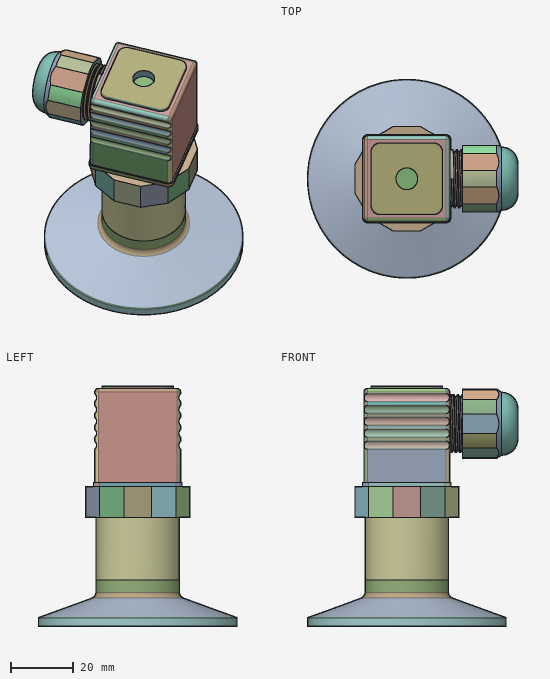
import cadquery as cq
import math


flange_diameter = 64.0
flange_height = 2.85
flange_edge_radius = 0.4
cone_angle = 20.0
neck_fillet = 2.0
ferrule_height = 15.0

tube_diameter = 26.9
tube_top = 35.1
adapter_sides = 12
adapter_across_flats = 33.5
adapter_top = 45.0

gasket_width = 28.6
gasket_corner_radius = 2.0
gasket_top = 46.4

overall_height = 77.35
housing_width = 27.7
housing_edge_radius = 1.2
label_pad_width = 23.1
label_pad_height = 0.75
label_pad_edge_radius = 0.2
label_pad_corner_radius = 3.0
housing_top = overall_height - label_pad_height
screw_hole_diameter = 7.0
screw_hole_depth = 2.8

groove_count = 5
groove_pitch = 3.83
groove_arc_radius = 1.7
groove_depth = 0.57
groove_lip_radius = 0.3
groove_overshoot = 1.0
top_groove_z = 73.65

outlet_z = 65.25
stub_diameter = 18.7
stub_embedment = 1.0
stub_root_x = housing_width / 2 - stub_embedment
thread_pitch = 1.41
thread_depth = 0.75
thread_root_width = 0.1
thread_mouth_width = 1.25
thread_overshoot = 0.1
thread_start_x = 14.35
nut_start_x = 17.85
nut_sides = 6
nut_across_flats = 21.5
nut_corner_diameter = 22.4
nut_chamfer_start_x = 28.9
dome_start_x = 30.5
dome_diameter = 20.4
nut_end_x = 35.8
dome_radius = nut_end_x - dome_start_x


def make_ferrule():
    neck_radius = tube_diameter / 2
    flange_radius = flange_diameter / 2
    cone_height = (flange_radius - neck_radius) * math.tan(math.radians(cone_angle))
    cone_top = flange_height + cone_height
    body = (
        cq.Workplane("XZ")
        .moveTo(0, 0)
        .lineTo(flange_radius, 0)
        .lineTo(flange_radius, flange_height)
        .lineTo(neck_radius, cone_top)
        .lineTo(neck_radius, ferrule_height)
        .lineTo(0, ferrule_height)
        .close()
        .revolve(360, (0, 0, 0), (0, 1, 0))
    )
    body = body.edges(cq.NearestToPointSelector((0, 0, cone_top))).fillet(neck_fillet)
    return body.edges(cq.NearestToPointSelector((0, 0, flange_height))).fillet(flange_edge_radius)


def make_tube():
    return (
        cq.Workplane("XY", origin=(0, 0, ferrule_height))
        .circle(tube_diameter / 2)
        .extrude(tube_top - ferrule_height)
    )


def make_adapter():
    corner_diameter = adapter_across_flats / math.cos(math.pi / adapter_sides)
    return (
        cq.Workplane("XY", origin=(0, 0, tube_top))
        .polygon(adapter_sides, corner_diameter)
        .extrude(adapter_top - tube_top)
        .rotate((0, 0, 0), (0, 0, 1), 180 / adapter_sides)
    )


def make_gasket():
    return (
        cq.Workplane("XY", origin=(0, 0, adapter_top))
        .rect(gasket_width, gasket_width)
        .extrude(gasket_top - adapter_top)
        .edges("|Z")
        .fillet(gasket_corner_radius)
    )


def make_groove(side, center_z):
    """Arc-shaped groove with rounded lips, running along X across the face at side * Y."""
    face_y = side * housing_width / 2
    outer_y = face_y + side * groove_overshoot
    floor_y = face_y - side * groove_depth
    center_height = groove_arc_radius - groove_depth
    reach = groove_arc_radius + groove_lip_radius
    half_mouth = math.sqrt(reach**2 - (center_height + groove_lip_radius) ** 2)
    blend = groove_arc_radius / reach
    tangent_z = half_mouth * blend
    tangent_y = face_y + side * (center_height - (center_height + groove_lip_radius) * blend)
    lip_turn = side * groove_lip_radius
    return (
        cq.Workplane("YZ", origin=(-housing_width, 0, center_z))
        .moveTo(outer_y, half_mouth)
        .lineTo(face_y, half_mouth)
        .radiusArc((tangent_y, tangent_z), lip_turn)
        .threePointArc((floor_y, 0), (tangent_y, -tangent_z))
        .radiusArc((face_y, -half_mouth), lip_turn)
        .lineTo(outer_y, -half_mouth)
        .close()
        .extrude(2 * housing_width)
    )


def make_stub():
    """Round stub with a right-handed V thread, modelled along Z and then turned to point along +X."""
    stub_radius = stub_diameter / 2
    root_radius = stub_radius - thread_depth
    outer_radius = stub_radius + thread_overshoot
    groove_length = nut_start_x - thread_start_x + thread_pitch
    helix = cq.Wire.makeHelix(thread_pitch, groove_length, stub_radius)
    groove = (
        cq.Workplane("XZ")
        .moveTo(root_radius, thread_root_width / 2)
        .lineTo(outer_radius, thread_mouth_width / 2)
        .lineTo(outer_radius, -thread_mouth_width / 2)
        .lineTo(root_radius, -thread_root_width / 2)
        .close()
        .sweep(cq.Workplane(obj=helix), isFrenet=True)
    )
    stub = (
        cq.Workplane("XY", origin=(0, 0, stub_root_x - thread_start_x))
        .circle(stub_radius)
        .extrude(nut_start_x - stub_root_x)
        .rotate((0, 0, 0), (0, 0, 1), 90)
        .cut(groove)
    )
    return (
        stub.rotate((0, 0, 0), (0, 1, 0), 90)
        .rotate((0, 0, 0), (1, 0, 0), 180)
        .translate((thread_start_x, 0, outlet_z))
    )


def make_housing():
    body = (
        cq.Workplane("XY", origin=(0, 0, gasket_top))
        .rect(housing_width, housing_width)
        .extrude(housing_top - gasket_top)
        .edges("|Z or >Z")
        .fillet(housing_edge_radius)
    )
    for side in (-1, 1):
        for index in range(groove_count):
            body = body.cut(make_groove(side, top_groove_z - index * groove_pitch))
    label_pad = (
        cq.Workplane("XY", origin=(0, 0, housing_top))
        .rect(label_pad_width, label_pad_width)
        .extrude(label_pad_height)
        .edges("|Z")
        .fillet(label_pad_corner_radius)
        .faces(">Z")
        .edges()
        .fillet(label_pad_edge_radius)
    )
    screw_hole = (
        cq.Workplane("XY", origin=(0, 0, overall_height - screw_hole_depth))
        .circle(screw_hole_diameter / 2)
        .extrude(screw_hole_depth)
    )
    return body.union(label_pad).cut(screw_hole).union(make_stub())


def make_cap_nut():
    """Hexagon with its corners turned round, ending in a domed nose."""
    length = nut_end_x - nut_start_x
    nut_flat_turn = 180 / nut_sides
    hexagon = (
        cq.Workplane("YZ", origin=(nut_start_x, 0, outlet_z))
        .polygon(nut_sides, nut_across_flats / math.cos(math.pi / nut_sides))
        .extrude(length)
        .rotate((0, 0, outlet_z), (1, 0, outlet_z), nut_flat_turn)
    )
    dome_half = dome_diameter / 2
    turned = (
        cq.Workplane("XY")
        .moveTo(nut_start_x, 0)
        .lineTo(nut_start_x, nut_corner_diameter / 2)
        .lineTo(nut_chamfer_start_x, nut_corner_diameter / 2)
        .lineTo(dome_start_x, dome_half)
        .radiusArc((nut_end_x, dome_half - dome_radius), dome_radius)
        .lineTo(nut_end_x, 0)
        .close()
        .revolve(360, (0, 0, 0), (1, 0, 0))
        .translate((0, 0, outlet_z))
    )
    return hexagon.intersect(turned)


ferrule = make_ferrule()
tube = make_tube()
adapter = make_adapter()
gasket = make_gasket()
housing = make_housing()
cap_nut = make_cap_nut()

result = cq.Compound.makeCompound(
    [ferrule.val(), tube.val(), adapter.val(), gasket.val(), housing.val(), cap_nut.val()]
)